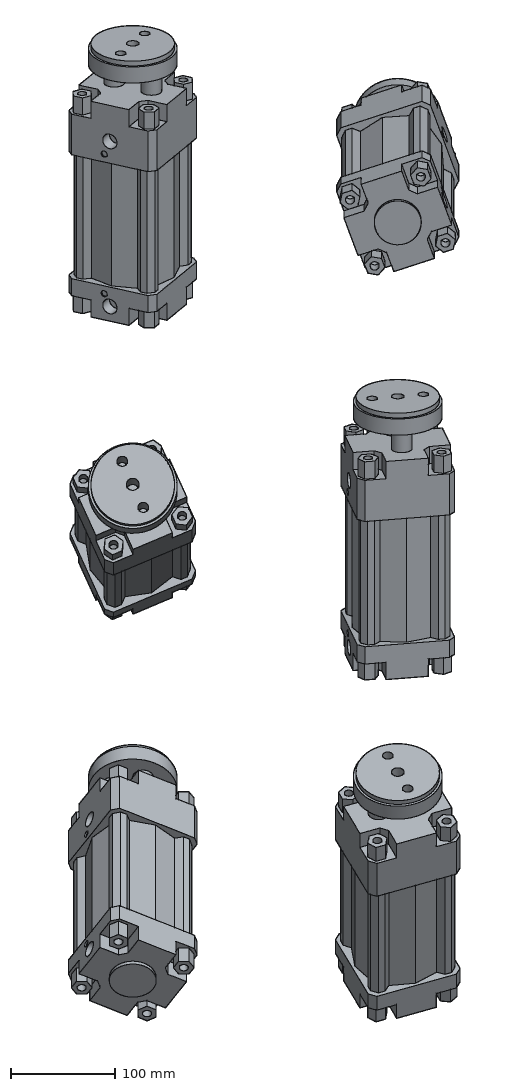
import cadquery as cq

TOTAL_HEIGHT = 278.0
BOSS_HEIGHT = 4.0
LOWER_CAP_HEIGHT = 36.1
UPPER_CAP_HEIGHT = 61.2
ROD_EXPOSED_LENGTH = 24.0
FLANGE_HEIGHT = 22.0

LOWER_CAP_BOTTOM = BOSS_HEIGHT
LOWER_CAP_TOP = LOWER_CAP_BOTTOM + LOWER_CAP_HEIGHT
FLANGE_BOTTOM = TOTAL_HEIGHT - FLANGE_HEIGHT
UPPER_CAP_TOP = FLANGE_BOTTOM - ROD_EXPOSED_LENGTH
UPPER_CAP_BOTTOM = UPPER_CAP_TOP - UPPER_CAP_HEIGHT

CAP_WIDTH = 95.0
CAP_CHAMFER = 6.5
POCKET_DEPTH = 18.0
POCKET_INNER_EDGE = 20.5
POCKET_CORNER_CHAMFER = 6.5
POCKET_SIZE = CAP_WIDTH / 2 - POCKET_INNER_EDGE
BOSS_DIAMETER = 45.0

NUT_OFFSET = 36.0
NUT_CORNER_DIAMETER = 20.0
NUT_HOLE_DIAMETER = 8.5
NUT_HOLE_DEPTH = 14.0
DRILL_TIP_HEIGHT = 2.5

PORT_DIAMETER = 15.3
PORT_DEPTH = 14.0
UPPER_PORT_FROM_CAP_END = 38.0
LOWER_PORT_FROM_CAP_END = 15.5
SCREW_HOLE_DIAMETER = 6.5
SCREW_HOLE_DEPTH = 1.7
SCREW_HOLE_X = -6.0
SCREW_HOLE_FROM_TUBE = 8.3

TUBE_PEAK = 44.5
TUBE_RIDGE_FACE = 43.6
TUBE_RIDGE_OUTER = 37.8
TUBE_RIDGE_INNER = 31.0
TUBE_VALLEY_ALONG = 24.7
TUBE_VALLEY = 37.8

ROD_DIAMETER = 20.0
ROD_OFFSET = 20.0
FLANGE_DIAMETER = 85.0
FLANGE_STEP_DIAMETER = 80.0
FLANGE_STEP_HEIGHT = 5.0
CENTRE_HOLE_DIAMETER = 12.0
SIDE_HOLE_DIAMETER = 10.0
SIDE_HOLE_OFFSET = 25.0

ORIGIN = (0, 0, 0)
Z_AXIS = (0, 0, 1)
QUARTER_TURN = 90


def level(z):
    """Horizontal work plane at height z."""
    return cq.Workplane("XY").workplane(offset=z)


def make_pocket():
    """Corner pocket cutter in the +X +Y quarter, from Z = 0 up, its inner corner chamfered."""
    return (
        cq.Workplane("XY")
        .box(POCKET_SIZE, POCKET_SIZE, POCKET_DEPTH, centered=False)
        .edges("|Z and <X and <Y")
        .chamfer(POCKET_CORNER_CHAMFER)
        .translate((POCKET_INNER_EDGE, POCKET_INNER_EDGE, 0))
    )


def make_nut():
    """Hexagonal nut in the +X +Y quarter, from Z = 0 up, with a drilled hole in its top."""
    hole_radius = NUT_HOLE_DIAMETER / 2
    hole_bottom = POCKET_DEPTH - NUT_HOLE_DEPTH
    hole = (
        cq.Workplane("XZ")
        .moveTo(0, hole_bottom - DRILL_TIP_HEIGHT)
        .lineTo(hole_radius, hole_bottom)
        .lineTo(hole_radius, POCKET_DEPTH)
        .lineTo(0, POCKET_DEPTH)
        .close()
        .revolve(360, (0, 0), (0, 1))
    )
    nut = cq.Workplane("XY").polygon(6, NUT_CORNER_DIAMETER).extrude(POCKET_DEPTH)
    return nut.cut(hole).translate((NUT_OFFSET, NUT_OFFSET, 0))


def make_cap(height):
    """End cap standing on Z = 0 with a nut in a pocket at each top corner."""
    cap = cq.Workplane("XY").rect(CAP_WIDTH, CAP_WIDTH).extrude(height).edges("|Z").chamfer(CAP_CHAMFER)
    lift = (0, 0, height - POCKET_DEPTH)
    pocket = make_pocket().translate(lift)
    nut = make_nut().translate(lift)
    for corner in range(4):
        turn = (ORIGIN, Z_AXIS, corner * QUARTER_TURN)
        cap = cap.cut(pocket.rotate(*turn)).union(nut.rotate(*turn))
    return cap


def make_tube():
    """Tube between the caps; the outline of one side is repeated by quarter turns."""
    side = [
        (0, -TUBE_PEAK),
        (TUBE_VALLEY_ALONG, -TUBE_VALLEY),
        (TUBE_RIDGE_INNER, -TUBE_RIDGE_FACE),
        (TUBE_RIDGE_OUTER, -TUBE_RIDGE_FACE),
        (TUBE_RIDGE_FACE, -TUBE_RIDGE_OUTER),
        (TUBE_RIDGE_FACE, -TUBE_RIDGE_INNER),
        (TUBE_VALLEY, -TUBE_VALLEY_ALONG),
    ]
    outline = []
    for _ in range(4):
        outline += side
        side = [(-y, x) for x, y in side]
    return level(LOWER_CAP_TOP).polyline(outline).close().extrude(UPPER_CAP_BOTTOM - LOWER_CAP_TOP)


def make_front_hole(x, z, diameter, depth):
    """Cutter for a blind hole in the -Y face of a cap."""
    face = cq.Workplane("XZ", origin=(x, -CAP_WIDTH / 2, z))
    return face.circle(diameter / 2).extrude(-depth)


def make_housing():
    upper_cap = make_cap(UPPER_CAP_HEIGHT).translate((0, 0, UPPER_CAP_BOTTOM))
    lower_cap = make_cap(LOWER_CAP_HEIGHT).mirror("XY").translate((0, 0, LOWER_CAP_TOP))
    boss = cq.Workplane("XY").circle(BOSS_DIAMETER / 2).extrude(BOSS_HEIGHT)
    housing = make_tube().union(upper_cap).union(lower_cap).union(boss)
    for z in (LOWER_CAP_BOTTOM + LOWER_PORT_FROM_CAP_END, UPPER_CAP_TOP - UPPER_PORT_FROM_CAP_END):
        housing = housing.cut(make_front_hole(0, z, PORT_DIAMETER, PORT_DEPTH))
    for z in (LOWER_CAP_TOP - SCREW_HOLE_FROM_TUBE, UPPER_CAP_BOTTOM + SCREW_HOLE_FROM_TUBE):
        housing = housing.cut(make_front_hole(SCREW_HOLE_X, z, SCREW_HOLE_DIAMETER, SCREW_HOLE_DEPTH))
    return housing


def make_piston():
    """End flange on two rods that reach down to the top of the housing."""
    step_bottom = TOTAL_HEIGHT - FLANGE_STEP_HEIGHT
    rods = (
        level(UPPER_CAP_TOP)
        .pushPoints([(-ROD_OFFSET, 0), (ROD_OFFSET, 0)])
        .circle(ROD_DIAMETER / 2)
        .extrude(ROD_EXPOSED_LENGTH)
    )
    flange = level(FLANGE_BOTTOM).circle(FLANGE_DIAMETER / 2).extrude(FLANGE_HEIGHT - FLANGE_STEP_HEIGHT)
    step = level(step_bottom).circle(FLANGE_STEP_DIAMETER / 2).extrude(FLANGE_STEP_HEIGHT)
    centre_hole = level(FLANGE_BOTTOM).circle(CENTRE_HOLE_DIAMETER / 2).extrude(FLANGE_HEIGHT)
    side_holes = (
        level(FLANGE_BOTTOM)
        .pushPoints([(0, -SIDE_HOLE_OFFSET), (0, SIDE_HOLE_OFFSET)])
        .circle(SIDE_HOLE_DIAMETER / 2)
        .extrude(FLANGE_HEIGHT)
    )
    return flange.union(step).cut(centre_hole).cut(side_holes).union(rods)


housing = make_housing()
piston = make_piston()

result = cq.Compound.makeCompound([housing.val(), piston.val()])